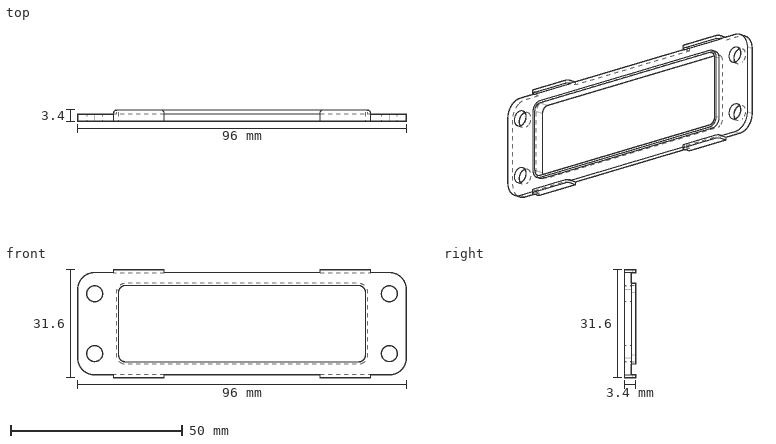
import cadquery as cq

length = 96.0
plate_height = 30.0
plate_thickness = 2.1
corner_radius = 5.0

total_depth = 3.4
total_height = 31.6

window_length = 72.0
window_height = 22.3
window_radius = 2.0
rim_wall = 0.7

hole_diameter = 4.6
hole_spacing_x = 86.0
hole_spacing_z = 17.5

tab_inner_x = 22.8
tab_outer_x = 37.5
tab_thickness = 1.0
tab_corner_radius = 1.0

front_y = -total_depth / 2


def rounded_block(size_x, size_z, radius, depth):
    """Block with rounded corners, extending from the front face toward +Y."""
    block = cq.Workplane("XY").box(size_x, depth, size_z)
    return block.edges("|Y").fillet(radius).translate((0, front_y + depth / 2, 0))


def edge_tab(side_x, side_z):
    """Tab along a long edge, with its two free corners rounded."""
    tab_length = tab_outer_x - tab_inner_x
    center_x = side_x * (tab_inner_x + tab_outer_x) / 2
    center_z = side_z * (total_height - tab_thickness) / 2
    tab = cq.Workplane("XY").box(tab_length, total_depth, tab_thickness)
    tab = tab.edges("|Z and >Y").fillet(tab_corner_radius)
    return tab.translate((center_x, 0, center_z))


plate = rounded_block(length, plate_height, corner_radius, plate_thickness)
rim = rounded_block(
    window_length + 2 * rim_wall,
    window_height + 2 * rim_wall,
    window_radius + rim_wall,
    total_depth,
)
result = plate.union(rim)

for side_x in (-1, 1):
    for side_z in (-1, 1):
        result = result.union(edge_tab(side_x, side_z))

result = result.cut(rounded_block(window_length, window_height, window_radius, total_depth))

holes = (
    cq.Workplane("XZ", origin=(0, front_y, 0))
    .rarray(hole_spacing_x, hole_spacing_z, 2, 2)
    .circle(hole_diameter / 2)
    .extrude(-plate_thickness)
)
result = result.cut(holes)